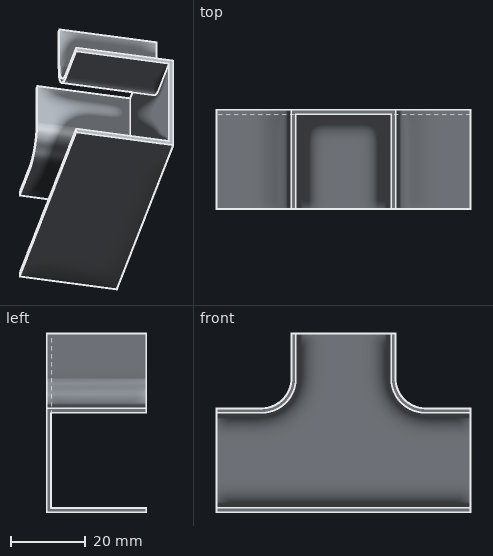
import cadquery as cq

duct_size = 25.4
wall = 1.2
arm_length = 20.0
outside_radius = 8.0

channel_width = duct_size + 2 * wall
depth = duct_size + wall
half_length = channel_width / 2 + arm_length
height = channel_width + arm_length
inside_radius = outside_radius + wall


def tee_outline(half_run, half_branch, bottom, shoulder, top, corner_radius):
    """Tee-shaped wire in the XZ plane with rounded inner corners."""
    return (
        cq.Workplane("XZ")
        .moveTo(-half_run, bottom)
        .lineTo(half_run, bottom)
        .lineTo(half_run, shoulder)
        .lineTo(half_branch + corner_radius, shoulder)
        .radiusArc((half_branch, shoulder + corner_radius), corner_radius)
        .lineTo(half_branch, top)
        .lineTo(-half_branch, top)
        .lineTo(-half_branch, shoulder + corner_radius)
        .radiusArc((-half_branch - corner_radius, shoulder), corner_radius)
        .lineTo(-half_run, shoulder)
        .close()
    )


def outer_body():
    """Solid tee, with its back face at Y = depth and its front at Y = 0."""
    outline = tee_outline(half_length, channel_width / 2, 0, channel_width, height, outside_radius)
    return outline.extrude(-depth)


def channel_cavity():
    """Tee-shaped passage, open at the front and at all three arm ends."""
    outline = tee_outline(
        half_length, duct_size / 2, wall, wall + duct_size, height, inside_radius
    )
    return outline.extrude(-duct_size)


result = outer_body().cut(channel_cavity())